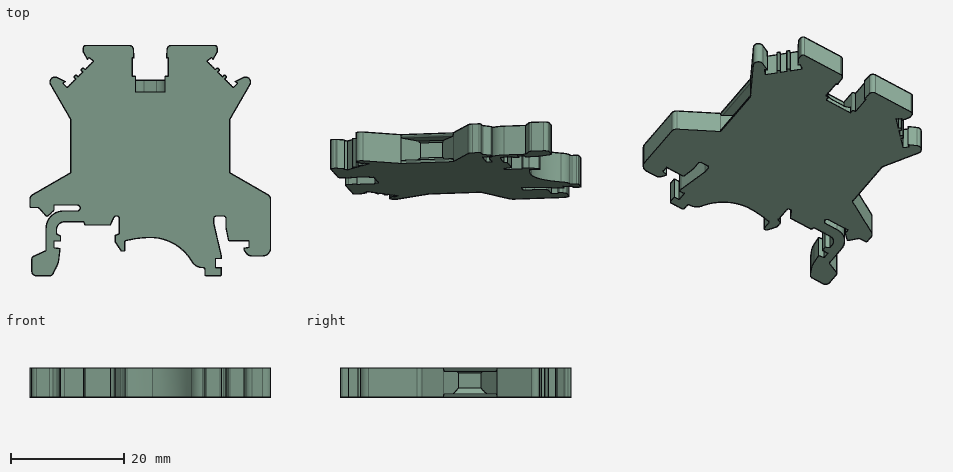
import math

import cadquery as cq


thickness = 5.2
overall_width = 42.5
overall_height = 40.7
body_width = 28.1

half_width = overall_width / 2
half_body = body_width / 2
top_y = overall_height / 2
bottom_y = -overall_height / 2

sharp = 0.0
small_round = 0.3

waist_top_y = 7.28
waist_bottom_y = -2.13
upper_arm_angle = 60.0
arm_tip_x = 19.08
arm_tip_radius = 0.9
prong_outer_x = 11.84
prong_side_bottom_y = 19.2
prong_outer_radius = 0.5
prong_inner_x = 3.0
prong_inner_radius = 0.75
prong_lip_x = 2.87
prong_lip_y = 18.16
notch_half_width = 3.16
notch_step_y = 14.93
notch_floor_half_width = 2.57
notch_floor_y = 12.13

seat_top = (10.0, 17.57)
seat_length = 6.6
seat_top_hook = [(10.81, 18.16), (11.1, 17.87)]
seat_bottom_hook = [(15.0, 13.97), (15.41, 13.63)]
seat_rib_pitch = 1.76
seat_rib_width = 0.6
seat_rib_height = 0.5
seat_rib_radius = 0.18

trough_front_y = 14.19
trough_floor_z = 1.0
trough_flat_half_width = 1.12
trough_radius = 2.0

entry_depth = 3.8
entry_inner_width = 4.0
entry_inner_top_y = 4.46
entry_rim = 0.3
entry_lip_radius = 0.3
entry_inner_bottom_z = 1.62
entry_inner_top_z = 4.32
entry_ramp_rise = 0.76

lower_arm_angle = 30.0
lower_arm_radius = 1.0
lower_arm_drop = (half_width - half_body) * math.tan(math.radians(lower_arm_angle))
lower_arm_y = waist_bottom_y - lower_arm_drop

left_arm_bottom_y = -8.31
foot_slot_top_y = -7.87
foot_slot_width = 1.0
foot_slot_bottom_y = foot_slot_top_y - foot_slot_width
foot_slot_end_x = -12.38
foot_slot_end_radius = 0.48
foot_slot_mouth_x = -16.98
foot_slot_mouth_y = -8.75
left_arm_tip = (-18.24, -9.95)
left_arm_notch_x = -19.7
foot_outer_x = -18.41
foot_bend_radius = 3.1
foot_inner_x = -16.54
foot_inner_y = -10.81
foot_inner_end_x = -11.76
foot_inner_radius = 1.4
foot_catch_x = -15.81
foot_catch_root_y = -12.91
foot_catch_top_y = -13.31
foot_groove_x = -16.98
foot_groove_top_y = -14.19
foot_groove_bottom_y = -15.37
foot_toe_x = -20.93
foot_toe_radius = 0.85
foot_toe_top_y = -17.03
foot_toe_top_radius = 0.6
foot_heel_top = (-15.91, -15.51)
foot_heel_bend = (-16.18, -18.01)
foot_heel_bend_radius = 4.0
foot_heel_bottom_x = -17.34
foot_heel_bottom_radius = 0.7
foot_outer_bottom_y = -15.88

rail_seat_y = -11.37
relief_top_y = -9.8
relief_right_x = -5.49
relief_left_x = -6.29
relief_mouth_x = -7.06
relief_radius = 0.35
rail_seat_end_x = -11.5
hook_right_x = -4.49
hook_bottom_y = -15.99
hook_top_y = -14.2
hook_left_x = -6.22
hook_left_top_y = -13.2
hook_left_bottom_y = -14.3
hook_toe_x = -5.1
hook_neck_y = -12.91
hook_radius = 0.2
arch_start = (-4.1, -14.08)
arch_apex = (0.44, -13.58)
arch_end = (7.28, -17.68)
arch_left_via = (-1.8, -13.68)
arch_right_via = (4.71, -15.0)
arch_foot_via = (7.98, -18.5)
arch_foot_x = 9.2
leg_left_x = 9.63
leg_right_x = 12.57
leg_top_y = -18.9
leg_slot_bottom_y = -16.85
leg_groove_x = 11.54
leg_groove_top_y = -17.28

slot_left_x = 11.25
slot_right_x = 13.34
slot_left_bend_y = -11.15
slot_right_bend_y = -11.8
slot_top_radius = 0.4
right_ledge_x = 13.82
right_ledge_y = -14.16
right_hook_root_x = 17.43
right_hook_root_y = -15.3
right_hook_x = 16.54
right_hook_top_y = -15.45
right_hook_bottom_y = -15.75
right_hook_tip_radius = 0.1
right_nose_x = 17.3
right_nose_radius = 1.2
right_bottom_y = -16.84
right_bottom_radius = 1.4


def corner(x, y, radius=sharp):
    """An outline vertex reached by a straight line and rounded with the given radius."""
    return {"point": (x, y), "radius": radius, "via": None}


def arc_to(point, via):
    """An outline vertex reached by an arc through `via`."""
    return {"point": point, "radius": sharp, "via": via}


def toward(start, target, distance):
    """The point at the given distance from `start` on the way to `target`."""
    length = math.dist(start, target)
    return tuple(s + (t - s) * distance / length for s, t in zip(start, target))


def closed_outline(vertices):
    """A closed wire on the XY plane through the vertices; the first one must be sharp."""
    path = cq.Workplane("XY").moveTo(*vertices[0]["point"])
    for index in range(1, len(vertices)):
        vertex = vertices[index]
        point = vertex["point"]
        radius = vertex["radius"]
        if vertex["via"]:
            path = path.threePointArc(vertex["via"], point)
        elif radius == sharp:
            path = path.lineTo(*point)
        else:
            before = vertices[index - 1]["point"]
            after = vertices[(index + 1) % len(vertices)]["point"]
            to_before = toward(point, before, 1.0)
            to_after = toward(point, after, 1.0)
            half_angle = math.asin(math.dist(to_before, to_after) / 2)
            setback = radius / math.tan(half_angle)
            middle = tuple((b + a) / 2 for b, a in zip(to_before, to_after))
            arc_middle = toward(point, middle, radius / math.sin(half_angle) - radius)
            path = path.lineTo(*toward(point, before, setback))
            path = path.threePointArc(arc_middle, toward(point, after, setback))
    return path.close()


def marker_seat():
    """The 45 degree seat of the +X side from its top to its bottom, with its ribs."""
    seat_top_x, seat_top_y = seat_top
    along = math.sqrt(0.5)

    def seat_point(distance, height):
        return (seat_top_x + (distance + height) * along, seat_top_y + (height - distance) * along)

    points = [corner(*seat_point(0, 0))]
    for side in (-1, 1):
        middle = seat_length / 2 + side * seat_rib_pitch / 2
        rib_start = middle - seat_rib_width / 2
        rib_end = middle + seat_rib_width / 2
        points += [
            corner(*seat_point(rib_start, 0)),
            corner(*seat_point(rib_start, seat_rib_height), seat_rib_radius),
            corner(*seat_point(rib_end, seat_rib_height), seat_rib_radius),
            corner(*seat_point(rib_end, 0)),
        ]
    points.append(corner(*seat_point(seat_length, 0)))
    return points


def upper_side():
    """The +X half of the upper outline, from the notch floor out to the lower arm."""
    arm_tip_y = waist_top_y + (arm_tip_x - half_body) * math.tan(math.radians(upper_arm_angle))
    hook_top_inner, hook_top_outer = seat_top_hook
    hook_bottom_outer, hook_bottom_inner = seat_bottom_hook
    return [
        corner(notch_floor_half_width, notch_floor_y),
        corner(notch_floor_half_width, notch_step_y, small_round),
        corner(notch_half_width, notch_step_y),
        corner(notch_half_width, prong_lip_y),
        corner(prong_lip_x, prong_lip_y),
        corner(prong_inner_x, top_y, prong_inner_radius),
        corner(prong_outer_x, top_y, prong_outer_radius),
        corner(prong_outer_x, prong_side_bottom_y, small_round),
        corner(*hook_top_outer),
        corner(*hook_top_inner),
        *marker_seat(),
        corner(*hook_bottom_inner),
        corner(*hook_bottom_outer),
        corner(arm_tip_x, arm_tip_y, arm_tip_radius),
        corner(half_body, waist_top_y),
        corner(half_body, waist_bottom_y),
        corner(half_width, lower_arm_y, lower_arm_radius),
    ]


def mirrored(vertices):
    """The same straight-sided vertices on the -X side, in reverse order."""
    return [corner(-v["point"][0], v["point"][1], v["radius"]) for v in reversed(vertices)]


def right_foot():
    """The rigid +X foot and its slot, from the right edge to the slot's left wall."""
    return [
        corner(half_width, right_bottom_y, right_bottom_radius),
        corner(right_nose_x, right_bottom_y, right_nose_radius),
        corner(right_hook_x, right_hook_bottom_y, right_hook_tip_radius),
        corner(right_hook_x, right_hook_top_y),
        corner(right_hook_root_x, right_hook_root_y),
        corner(right_hook_root_x, right_ledge_y),
        corner(right_ledge_x, right_ledge_y, small_round),
        corner(slot_right_x, slot_right_bend_y),
        corner(slot_right_x, relief_top_y, slot_top_radius),
        corner(slot_left_x, relief_top_y, slot_top_radius),
        corner(slot_left_x, slot_left_bend_y),
    ]


def centre_leg():
    """The leg beside the slot, the arch and the hook at the arch's left end."""
    return [
        corner(leg_right_x, leg_slot_bottom_y),
        corner(leg_right_x, leg_groove_top_y),
        corner(leg_groove_x, leg_groove_top_y),
        corner(leg_groove_x, leg_top_y),
        corner(leg_right_x, leg_top_y),
        corner(leg_right_x, bottom_y, small_round),
        corner(leg_left_x, bottom_y, small_round),
        corner(leg_left_x, leg_top_y, small_round),
        corner(arch_foot_x, leg_top_y),
        arc_to(arch_end, arch_foot_via),
        arc_to(arch_apex, arch_right_via),
        arc_to(arch_start, arch_left_via),
        corner(hook_right_x, hook_top_y, hook_radius),
        corner(hook_right_x, hook_bottom_y, hook_radius),
        corner(hook_toe_x, hook_bottom_y, small_round),
        corner(hook_left_x, hook_left_bottom_y, small_round),
        corner(hook_left_x, hook_left_top_y, hook_radius),
        corner(relief_right_x, hook_neck_y),
    ]


def left_foot():
    """The flexible -X foot, from the rail seat round the toe and back to the left edge."""
    return [
        corner(relief_right_x, relief_top_y, relief_radius),
        corner(relief_left_x, relief_top_y, relief_radius),
        corner(relief_mouth_x, rail_seat_y),
        corner(rail_seat_end_x, rail_seat_y),
        corner(foot_inner_end_x, foot_inner_y),
        corner(foot_inner_x, foot_inner_y, foot_inner_radius),
        corner(foot_inner_x, foot_catch_root_y),
        corner(foot_catch_x, foot_catch_top_y),
        corner(foot_catch_x, foot_groove_top_y),
        corner(foot_groove_x, foot_groove_top_y),
        corner(foot_groove_x, foot_groove_bottom_y),
        corner(*foot_heel_top),
        corner(*foot_heel_bend, foot_heel_bend_radius),
        corner(foot_heel_bottom_x, bottom_y, foot_heel_bottom_radius),
        corner(foot_toe_x, bottom_y, foot_toe_radius),
        corner(foot_toe_x, foot_toe_top_y, foot_toe_top_radius),
        corner(foot_outer_x, foot_outer_bottom_y),
        corner(foot_outer_x, foot_slot_bottom_y, foot_bend_radius),
        corner(foot_slot_end_x, foot_slot_bottom_y, foot_slot_end_radius),
        corner(foot_slot_end_x, foot_slot_top_y, foot_slot_end_radius),
        corner(foot_slot_mouth_x, foot_slot_top_y),
        corner(foot_slot_mouth_x, foot_slot_mouth_y),
        corner(*left_arm_tip, small_round),
        corner(left_arm_notch_x, left_arm_bottom_y, small_round),
        corner(-half_width, left_arm_bottom_y, small_round),
    ]


def housing():
    upper = upper_side()
    outline = upper + right_foot() + centre_leg() + left_foot() + mirrored(upper)
    return closed_outline(outline).extrude(thickness)


def notch_trough():
    """The ledge in front of the notch floor: flat in the middle, curving up to both prongs."""
    side_run = notch_floor_half_width - trough_flat_half_width

    def rise(run):
        return trough_radius - math.sqrt(trough_radius**2 - run**2)

    edge_z = trough_floor_z + rise(side_run)
    middle_x = trough_flat_half_width + side_run / 2
    middle_z = trough_floor_z + rise(side_run / 2)
    return (
        cq.Workplane("XZ", origin=(0, trough_front_y, 0))
        .moveTo(-notch_floor_half_width, 0)
        .lineTo(notch_floor_half_width, 0)
        .lineTo(notch_floor_half_width, edge_z)
        .threePointArc((middle_x, middle_z), (trough_flat_half_width, trough_floor_z))
        .lineTo(-trough_flat_half_width, trough_floor_z)
        .threePointArc((-middle_x, middle_z), (-notch_floor_half_width, edge_z))
        .close()
        .extrude(trough_front_y - notch_floor_y)
    )


def wire_entry():
    """The funnel cut into the -X side of the waist: a tapered plan by a tapered section."""
    back_x = -half_body + entry_depth
    plan = (
        cq.Workplane("XY")
        .moveTo(-half_body, waist_top_y)
        .lineTo(back_x, entry_inner_top_y)
        .lineTo(back_x, entry_inner_top_y - entry_inner_width)
        .lineTo(-half_body, waist_bottom_y)
        .close()
        .extrude(thickness)
    )
    low_z = entry_rim + entry_lip_radius
    high_z = thickness - low_z
    rim_top_z = thickness - entry_rim
    lip_x = -half_body + entry_lip_radius
    lip_arc = entry_lip_radius * math.sqrt(0.5)
    low_ramp_x = back_x - (entry_inner_bottom_z - low_z) / entry_ramp_rise
    high_ramp_x = back_x - (high_z - entry_inner_top_z) / entry_ramp_rise
    section = (
        cq.Workplane("XZ", origin=(0, waist_top_y, 0))
        .moveTo(-half_body, entry_rim)
        .threePointArc((lip_x - lip_arc, entry_rim + lip_arc), (lip_x, low_z))
        .lineTo(low_ramp_x, low_z)
        .lineTo(back_x, entry_inner_bottom_z)
        .lineTo(back_x, entry_inner_top_z)
        .lineTo(high_ramp_x, high_z)
        .lineTo(lip_x, high_z)
        .threePointArc((lip_x - lip_arc, rim_top_z - lip_arc), (-half_body, rim_top_z))
        .close()
        .extrude(waist_top_y - waist_bottom_y)
    )
    return plan.intersect(section)


left_entry = wire_entry()
right_entry = left_entry.mirror("YZ")
result = housing().union(notch_trough()).cut(left_entry).cut(right_entry)